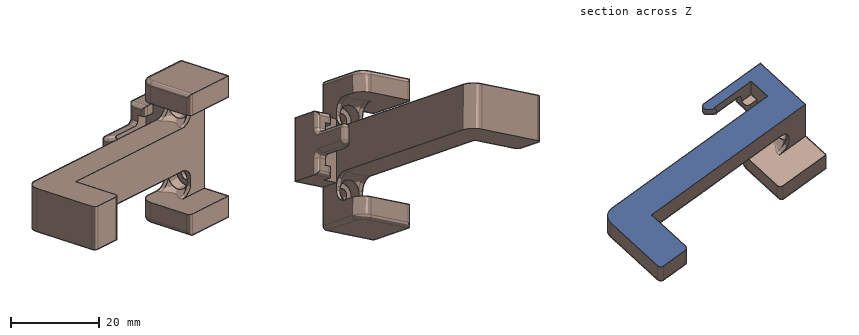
import cadquery as cq
import math


arm_left = 8.0
arm_thickness = 7.5
arm_height = 10.7
arm_length = 55.1
foot_right = 28.0
foot_depth = 8.5
arm_corner_radius = 3.0
edge_radius = 1.0

total_height = 35.0
prong_thickness = 5.25
prong_width = 14.5
prong_depth = 14.0
prong_corner_radius = 3.0

web_depth = 5.0
web_fillet = 3.0
screw_hole_diameter = 2.9
counterbore_diameter = 5.5
counterbore_depth = 3.0
screw_offset_z = -0.25

clip_height = 15.0
clip_bridge_depth = 5.0
clip_depth = 8.0
clip_lip_width = 4.5
tongue_thickness = 2.5
tongue_height = 5.1
recess_height = 10.0
barb_tip_x = 3.1
barb_tip_depth = 16.05
barb_angle = 52.0

arm_right = arm_left + arm_thickness
web_bottom = arm_height / 2
web_top = total_height / 2 - prong_thickness
web_middle = (web_bottom + web_top) / 2
barb_apex_depth = barb_tip_depth + barb_tip_x * math.tan(math.radians(barb_angle))
screw_x = arm_left + arm_thickness / 2
selection_margin = 0.1


def box(x_min, x_max, depth_min, depth_max, z_min, z_max):
    """Block between two x values, two depths in front of the back face and two heights."""
    size = (x_max - x_min, depth_max - depth_min, z_max - z_min)
    return cq.Workplane("XY").box(*size, centered=False).translate((x_min, -depth_max, z_min))


def near(low, high):
    """Selector for edges centred inside, or just beside, the box between two corners."""
    return cq.selectors.BoxSelector(
        tuple(value - selection_margin for value in low),
        tuple(value + selection_margin for value in high),
    )


def make_arm():
    arm = box(arm_left, arm_right, 0, arm_length, -arm_height / 2, arm_height / 2)
    foot = box(arm_left, foot_right, arm_length - foot_depth, arm_length, -arm_height / 2, arm_height / 2)
    arm = arm.union(foot)
    arm = arm.edges("|Z").edges(">X").fillet(edge_radius)
    return arm.edges("|Z").edges("<Y").edges("<X").fillet(arm_corner_radius)


def make_upper_prong():
    right = arm_left + prong_width
    prong = box(arm_left, right, 0, prong_depth, web_top, total_height / 2)
    prong = prong.edges("|Z and <X and <Y").fillet(prong_corner_radius)
    outer_edges = prong.faces(">Z").edges("not (>X or >Y)")
    front_right_edge = prong.edges("|Z and >X and <Y")
    return prong.newObject(outer_edges.vals() + front_right_edge.vals()).fillet(edge_radius)


def make_body():
    """Arm and prongs joined by the webs, with the screw holes and web fillets."""
    upper_web = box(arm_left, arm_right, 0, web_depth, web_bottom, web_top)
    upper = make_upper_prong().union(upper_web)
    body = make_arm().union(upper).union(upper.mirror("XY"))
    for side in (1, -1):
        body = cut_screw_hole(body, side * web_middle + screw_offset_z)
        for wall in (web_bottom, web_top):
            corner = near((arm_left, -web_depth, side * wall), (arm_right, -web_depth, side * wall))
            body = body.edges("|X").edges(corner).fillet(web_fillet)
    return body


def cut_screw_hole(body, z):
    counterbore_floor = cq.Workplane("XZ", origin=(screw_x, -web_depth + counterbore_depth, z))
    counterbore = counterbore_floor.circle(counterbore_diameter / 2).extrude(counterbore_depth)
    hole = cq.Workplane("XZ", origin=(screw_x, 0, z)).circle(screw_hole_diameter / 2).extrude(web_depth)
    return body.cut(counterbore).cut(hole)


def make_tongue():
    """Springy tongue with a barbed, sloping end."""
    return (
        cq.Workplane("XY", origin=(0, 0, -tongue_height / 2))
        .moveTo(0, -clip_bridge_depth)
        .lineTo(0, -barb_apex_depth)
        .lineTo(barb_tip_x, -barb_tip_depth)
        .lineTo(tongue_thickness, -barb_tip_depth)
        .lineTo(tongue_thickness, -clip_bridge_depth)
        .close()
        .extrude(tongue_height)
    )


def make_clip():
    half = clip_height / 2
    recess_half = recess_height / 2
    clip = box(0, arm_left, 0, clip_bridge_depth, -half, half)
    clip = clip.union(box(0, clip_lip_width, 0, clip_depth, -half, half))
    recess = box(tongue_thickness, clip_lip_width, clip_bridge_depth, clip_depth, -recess_half, recess_half)
    clip = clip.cut(recess).union(make_tongue())

    tongue_half = tongue_height / 2
    tongue_root = near((0, -clip_depth, -tongue_half), (tongue_thickness, -clip_depth, tongue_half))
    clip = clip.edges("|X").edges(tongue_root).fillet(edge_radius)

    left_front = near((0, -barb_apex_depth, -half), (0, -clip_depth, half))
    left_edges = clip.faces("<X").edges(left_front)
    lip_edges = clip.faces("<Z or >Z").edges("<Y")
    lip_inner = near((clip_lip_width, -clip_depth, -half), (clip_lip_width, -clip_depth, half))
    lip_inner_edges = clip.edges("|Z").edges(lip_inner)
    slope_edges = clip.faces("<Y").edges("not |Z")
    rounded = left_edges.add(lip_edges).add(lip_inner_edges).add(slope_edges)
    return clip.newObject(rounded.vals()).fillet(edge_radius)


result = make_body().union(make_clip())